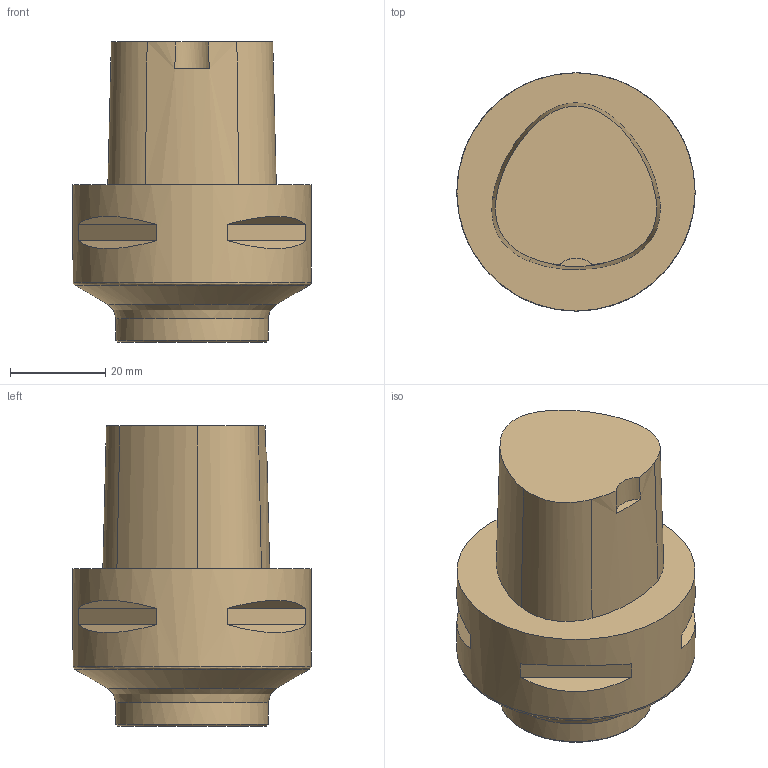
import cadquery as cq
import math

shank_length = 30.0
base_mean_diameter = 35.0
taper_ratio = 1 / 20
lobe_offset = 1.2
side_count = 6
tip_mean_diameter = base_mean_diameter - taper_ratio * shank_length

flange_radius = 25.0
flange_height = 20.85
cone_angle = 30.0
neck_radius = 16.0
body_length = 33.0
flange_edge_fillet = 0.8
neck_fillet = 3.5
neck_chamfer = 0.4
neck_top_depth = flange_height + (flange_radius - neck_radius) * math.tan(math.radians(cone_angle))

groove_count = 4
groove_first_angle = 45.0
groove_depth = 2.9
groove_floor_height = 3.4
groove_wall_angle = 30.0
groove_center_z = -10.0

notch_radius = 5.0
notch_inner_y = -13.95
notch_depth = 5.65


def lobed_point(mean_diameter, angle):
    """Point of the lobed curve; angle 0 is the lobe on +Y, running counterclockwise."""
    mean_radius = mean_diameter / 2
    x = -mean_radius * math.sin(angle) + lobe_offset * math.sin(2 * angle)
    y = mean_radius * math.cos(angle) + lobe_offset * math.cos(2 * angle)
    return x, y


def lobed_tangent(mean_diameter, angle):
    """Derivative of lobed_point with respect to the angle."""
    mean_radius = mean_diameter / 2
    dx = -mean_radius * math.cos(angle) + 2 * lobe_offset * math.cos(2 * angle)
    dy = -mean_radius * math.sin(angle) - 2 * lobe_offset * math.sin(2 * angle)
    return dx, dy


def lobed_wire(mean_diameter, z):
    """Closed lobed outline made of alternating lobe and flat-side curves."""
    side_angle = 2 * math.pi / side_count
    steps_per_side = 6
    edges = []
    for side in range(side_count):
        start = (side - 0.5) * side_angle
        angles = [start + side_angle * step / steps_per_side for step in range(steps_per_side + 1)]
        points = [cq.Vector(*lobed_point(mean_diameter, angle), z) for angle in angles]
        start_tangent = cq.Vector(*lobed_tangent(mean_diameter, angles[0]), 0)
        end_tangent = cq.Vector(*lobed_tangent(mean_diameter, angles[-1]), 0)
        edges.append(cq.Edge.makeSpline(points, tangents=[start_tangent, end_tangent]))
    return cq.Wire.assembleEdges(edges)


def make_shank():
    base = lobed_wire(base_mean_diameter, 0)
    tip = lobed_wire(tip_mean_diameter, shank_length)
    return cq.Workplane(cq.Solid.makeLoft([base, tip], True))


def make_body():
    """Flange, cone and neck as one turned shape."""
    profile = (
        cq.Workplane("XZ")
        .moveTo(0, 0)
        .lineTo(flange_radius, 0)
        .lineTo(flange_radius, -flange_height)
        .lineTo(neck_radius, -neck_top_depth)
        .lineTo(neck_radius, -body_length)
        .lineTo(0, -body_length)
        .close()
    )
    body = profile.revolve(360, (0, 0, 0), (0, 1, 0))
    body = body.faces("<Z").edges().chamfer(neck_chamfer)
    body = edge_circle_at(body, -flange_height).fillet(flange_edge_fillet)
    return edge_circle_at(body, -neck_top_depth).fillet(neck_fillet)


def edge_circle_at(body, z):
    """Select the circular edge of the body lying at height z."""
    tolerance = 0.01
    reach = 2 * flange_radius
    selector = cq.selectors.BoxSelector(
        (-reach, -reach, z - tolerance), (reach, reach, z + tolerance)
    )
    return body.edges("%CIRCLE").edges(selector)


def make_groove(angle):
    """Cutter for one groove, with its floor square to the given direction."""
    clearance = 1.0
    floor_x = flange_radius - groove_depth
    outer_x = flange_radius + clearance
    floor_half = groove_floor_height / 2
    outer_half = floor_half + (outer_x - floor_x) * math.tan(math.radians(groove_wall_angle))
    cutter = (
        cq.Workplane("XZ")
        .moveTo(floor_x, groove_center_z - floor_half)
        .lineTo(outer_x, groove_center_z - outer_half)
        .lineTo(outer_x, groove_center_z + outer_half)
        .lineTo(floor_x, groove_center_z + floor_half)
        .close()
        .extrude(flange_radius, both=True)
    )
    return cutter.rotate((0, 0, 0), (0, 0, 1), angle)


def make_notch():
    return (
        cq.Workplane("XY", origin=(0, notch_inner_y - notch_radius, shank_length))
        .circle(notch_radius)
        .extrude(-notch_depth)
    )


result = make_body().union(make_shank())
for index in range(groove_count):
    result = result.cut(make_groove(groove_first_angle + index * 360 / groove_count))
result = result.cut(make_notch())